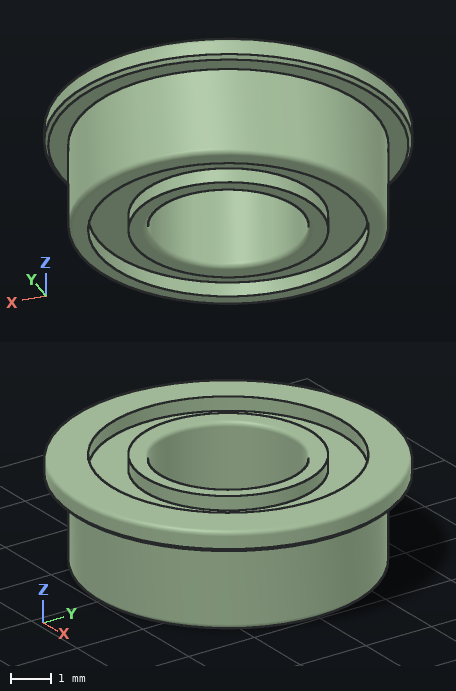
import cadquery as cq

flange_diameter = 9.2
flange_thickness = 0.6
body_diameter = 8.0
bore_diameter = 4.0
height = 3.0
edge_radius = 0.15
flange_underside_chamfer = 0.1

recess_outer_diameter = 7.0
recess_inner_diameter = 5.0
recess_depth = 0.4


def cylinder(diameter, length, base_z):
    return cq.Workplane("XY").workplane(offset=base_z).circle(diameter / 2).extrude(length)


def rounded_cylinder(diameter, length, base_z, edges):
    return cylinder(diameter, length, base_z).edges(edges).fillet(edge_radius)


def annular_recess(base_z):
    return (
        cq.Workplane("XY")
        .workplane(offset=base_z)
        .circle(recess_outer_diameter / 2)
        .circle(recess_inner_diameter / 2)
        .extrude(recess_depth)
    )


body = rounded_cylinder(body_diameter, height, 0, "<Z")
flange = rounded_cylinder(flange_diameter, flange_thickness, height - flange_thickness, ">Z")
flange = flange.edges("<Z").chamfer(flange_underside_chamfer)
result = body.union(flange)

result = result.cut(cylinder(bore_diameter, height, 0))
bore_mouths = cq.selectors.RadiusNthSelector(0)
result = result.faces("<Z or >Z").edges(bore_mouths).fillet(edge_radius)

for recess_base in (0, height - recess_depth):
    result = result.cut(annular_recess(recess_base))